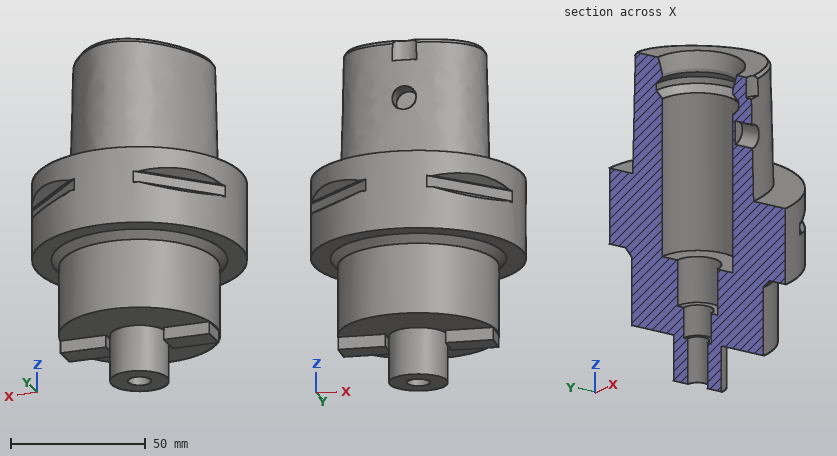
import cadquery as cq
import math

total_height = 126.0
flange_top = 78.0
flange_bottom = 48.0
body_bottom = 18.0
key_height = 4.8
neck_cone_height = 3.0

flange_radius = 80.0 / 2
body_radius = 30.0
neck_cone_radius = 32.8
pilot_radius = 11.0

shank_mean_radius = 55.0 / 2
lobe_height = 2.0
taper_run = 40.0
tip_chamfer_height = 1.4
tip_chamfer_width = 1.0
lobe_curve_points = 24

mouth_radius = 17.8
mouth_depth = 6.4
bore_radius = 15.9
groove_radius = 18.6
groove_start_depth = 7.8
groove_end_depth = 16.0
bore_floor = flange_bottom
screw_head_radius = 9.0
screw_head_floor = 30.0
screw_seat_radius = 6.0
screw_seat_floor = body_bottom
through_radius = 4.4

notch_radius = 6.2
notch_inner_y = -22.2
notch_depth = 8.1
side_hole_radius = 4.5
side_hole_z = 103.2
side_hole_end_y = -17.1

grip_count = 4
grip_first_angle = 45
grip_z = 66.2
grip_flat_distance = 35.3
grip_bevel_distance = 36.3
grip_flat_height = 4.3
grip_mouth_height = 8.8

key_inner_x = 11.5
key_outer_x = 29.5
key_width = 10.0


def lobed_wire(mean_radius, z):
    """Closed three-lobed curve at height z, with its highest lobe toward +Y."""
    points = []
    for i in range(lobe_curve_points):
        t = math.pi + 2 * math.pi * i / lobe_curve_points
        x = mean_radius * math.sin(t) - lobe_height * math.sin(2 * t)
        y = mean_radius * math.cos(t) + lobe_height * math.cos(2 * t)
        points.append(cq.Vector(x, y, z))
    return cq.Wire.assembleEdges([cq.Edge.makeSpline(points, periodic=True)])


def ruled_loft(*wires):
    return cq.Workplane(cq.Solid.makeLoft(list(wires), True))


def revolved(points):
    """Solid turned about Z from (radius, z) points."""
    return cq.Workplane("XZ").polyline(points).close().revolve(360, (0, 0, 0), (0, 1, 0))


def turned_outside():
    return revolved([
        (0, 0),
        (pilot_radius, 0),
        (pilot_radius, body_bottom),
        (body_radius, body_bottom),
        (body_radius, flange_bottom - neck_cone_height),
        (neck_cone_radius, flange_bottom),
        (flange_radius, flange_bottom),
        (flange_radius, flange_top),
        (0, flange_top),
    ])


def shank():
    chamfer_z = total_height - tip_chamfer_height
    chamfer_radius = shank_mean_radius - (chamfer_z - flange_top) / taper_run
    base = lobed_wire(shank_mean_radius, flange_top)
    shoulder = lobed_wire(chamfer_radius, chamfer_z)
    tip = lobed_wire(chamfer_radius - tip_chamfer_width, total_height)
    return ruled_loft(base, shoulder).union(ruled_loft(shoulder, tip))


def stepped_bore():
    groove_top = total_height - groove_start_depth
    groove_bottom = total_height - groove_end_depth
    groove_depth = groove_radius - bore_radius
    return revolved([
        (0, total_height),
        (mouth_radius, total_height),
        (bore_radius, total_height - mouth_depth),
        (bore_radius, groove_top),
        (groove_radius, groove_top - groove_depth),
        (groove_radius, groove_bottom + groove_depth),
        (bore_radius, groove_bottom),
        (bore_radius, bore_floor),
        (screw_head_radius, bore_floor),
        (screw_head_radius, screw_head_floor),
        (screw_seat_radius, screw_head_floor),
        (screw_seat_radius, screw_seat_floor),
        (through_radius, screw_seat_floor),
        (through_radius, 0),
        (0, 0),
    ])


def tip_notch():
    return (
        cq.Workplane("XY", origin=(0, notch_inner_y - notch_radius, total_height - notch_depth))
        .circle(notch_radius)
        .extrude(notch_depth)
    )


def side_hole():
    return (
        cq.Workplane("XZ", origin=(0, side_hole_end_y, side_hole_z))
        .circle(side_hole_radius)
        .extrude(flange_radius)
    )


def grip_groove(angle):
    """Straight-sided slot with a bevelled mouth across the flange at the given angle."""
    half_floor = grip_flat_height / 2
    half_mouth = grip_mouth_height / 2
    return (
        cq.Workplane("XZ", origin=(0, flange_radius, 0))
        .polyline([
            (grip_flat_distance, grip_z - half_floor),
            (grip_bevel_distance, grip_z - half_floor),
            (flange_radius, grip_z - half_mouth),
            (flange_radius, grip_z + half_mouth),
            (grip_bevel_distance, grip_z + half_floor),
            (grip_flat_distance, grip_z + half_floor),
        ])
        .close()
        .extrude(2 * flange_radius)
        .rotate((0, 0, 0), (0, 0, 1), angle)
    )


def drive_key(side):
    length = key_outer_x - key_inner_x
    return cq.Workplane("XY").box(length, key_width, key_height).translate(
        (side * (key_inner_x + length / 2), 0, body_bottom - key_height / 2)
    )


result = turned_outside().union(shank())
for side in (-1, 1):
    result = result.union(drive_key(side))
result = result.cut(stepped_bore()).cut(tip_notch()).cut(side_hole())
for i in range(grip_count):
    result = result.cut(grip_groove(grip_first_angle + i * 360 / grip_count))